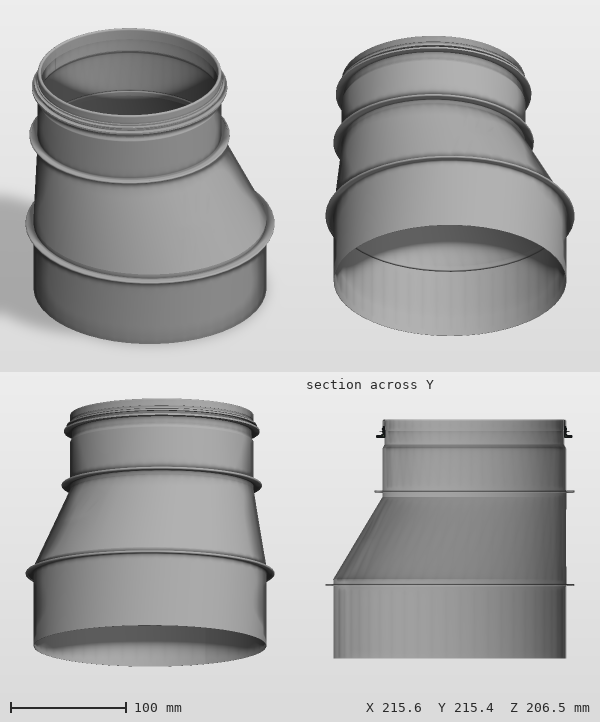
import cadquery as cq
import math


sheet = 0.5
duct_bend_radius = 0.97
transition_bend_radius = 0.2
half_arc = math.sqrt(0.5)

large_radius = 201.4 / 2
small_radius = 159.0 / 2
small_axis_x = small_radius - large_radius
total_height = 206.5

large_joint_z = 63.5
large_flange_radius = 215.4 / 2
large_lip_radius = 211.3 / 2
small_joint_z = 144.2
small_flange_radius = 173.3 / 2
small_lip_radius = 169.5 / 2
hem_radius = 2 * sheet

cone_bottom_z = 68.5
cone_top_z = 139.5

groove_radius = 155.5 / 2
groove_taper_bottom_z = 181.8
groove_taper_top_z = 184.8
taper_bend_radius = 1.7
neck_radius = 154.2 / 2
neck_bottom_z = 197.0
fold_end_z = 200.3
rim_radius = (small_radius - neck_radius + sheet) / 2
rim_center_r = small_radius - rim_radius
rim_z = total_height - rim_radius

large_seam_width = 0.1
small_seam_width = 0.2

gasket_bottom_z = 191.0
gasket_body_radius = 158.0 / 2
gasket_rings = [
    (160.5 / 2, gasket_bottom_z, 193.5),
    (169.0 / 2, gasket_bottom_z, 192.5),
    (164.5 / 2, 195.5, 196.6),
    (160.5 / 2, 197.7, 198.5),
]


def at(radius, z):
    """Profile point on the -X side of the axis."""
    return (-radius, z)


def revolve(profile):
    """Turn a closed profile once around the Z axis."""
    return profile.close().revolve(360, (0, 0, 0), (0, 1, 0))


def ring(inner_radius, outer_radius, bottom_z, top_z):
    """Plain ring with a rectangular section."""
    profile = (
        cq.Workplane("XZ")
        .moveTo(*at(inner_radius, bottom_z))
        .lineTo(*at(outer_radius, bottom_z))
        .lineTo(*at(outer_radius, top_z))
        .lineTo(*at(inner_radius, top_z))
    )
    return revolve(profile)


def flanged_wall(radius, end_z, flange_z, flange_radius, bend_radius, side):
    """Sheet tube from end_z that bends out into a flange.

    flange_z is the flange face turned away from the tube; side is +1 for a tube
    above its flange and -1 for a tube below it.
    """
    center_r = radius + bend_radius
    center_z = flange_z + side * (sheet + bend_radius)
    inside_bend = (bend_radius + sheet) * half_arc
    outside_bend = bend_radius * half_arc
    profile = (
        cq.Workplane("XZ")
        .moveTo(*at(radius - sheet, end_z))
        .lineTo(*at(radius - sheet, center_z))
        .threePointArc(
            at(center_r - inside_bend, center_z - side * inside_bend),
            at(center_r, flange_z),
        )
        .lineTo(*at(flange_radius, flange_z))
        .lineTo(*at(flange_radius, flange_z + side * sheet))
        .lineTo(*at(center_r, flange_z + side * sheet))
        .threePointArc(
            at(center_r - outside_bend, center_z - side * outside_bend),
            at(radius, center_z),
        )
        .lineTo(*at(radius, end_z))
    )
    return revolve(profile)


def hem(joint_z, flange_radius, lip_radius, side):
    """U-shaped fold around a duct flange, with its lip on the side away from the wall."""
    fold_r = flange_radius - hem_radius
    inside = hem_radius - sheet
    profile = (
        cq.Workplane("XZ")
        .moveTo(*at(lip_radius, joint_z - side * hem_radius))
        .lineTo(*at(fold_r, joint_z - side * hem_radius))
        .threePointArc(at(flange_radius, joint_z), at(fold_r, joint_z + side * hem_radius))
        .lineTo(*at(fold_r, joint_z + side * inside))
        .threePointArc(at(fold_r + inside, joint_z), at(fold_r, joint_z - side * inside))
        .lineTo(*at(lip_radius, joint_z - side * inside))
    )
    return revolve(profile)


def hemmed_collar(radius, end_z, joint_z, flange_radius, lip_radius, side):
    """Short end wall of the transition with its flange and hem."""
    flange_z = joint_z + side * (hem_radius - sheet)
    wall = flanged_wall(
        radius, end_z, flange_z, flange_radius - hem_radius, transition_bend_radius, side
    )
    return wall.union(hem(joint_z, flange_radius, lip_radius, side))


def eccentric_cone(bottom_radius, top_radius):
    """Solid between the two offset circles of the transition."""
    return (
        cq.Workplane("XY", origin=(0, 0, cone_bottom_z))
        .circle(bottom_radius)
        .workplane(offset=cone_top_z - cone_bottom_z)
        .center(small_axis_x, 0)
        .circle(top_radius)
        .loft(ruled=True)
    )


def seam_slit(width):
    """Thin block from the axis out past the flange that opens a seam over the full height."""
    block = cq.Workplane("XY").box(
        large_flange_radius, width, total_height, centered=(False, True, False)
    )
    return block.translate((-large_flange_radius, 0, 0))


def make_large_duct():
    wall = flanged_wall(
        large_radius, 0, large_joint_z, large_flange_radius - hem_radius, duct_bend_radius, -1
    )
    return wall.cut(seam_slit(large_seam_width))


def make_transition():
    shell = eccentric_cone(large_radius, small_radius).cut(
        eccentric_cone(large_radius - sheet, small_radius - sheet)
    )
    bottom_collar = hemmed_collar(
        large_radius, cone_bottom_z, large_joint_z, large_flange_radius, large_lip_radius, 1
    )
    top_collar = hemmed_collar(
        small_radius, cone_top_z, small_joint_z, small_flange_radius, small_lip_radius, -1
    ).translate((small_axis_x, 0, 0))
    return shell.union(bottom_collar).union(top_collar)


def make_spigot_end():
    """Wall above the small duct: tapered groove, neck and rim folded outward."""
    profile = (
        cq.Workplane("XZ")
        .moveTo(*at(small_radius, groove_taper_bottom_z))
        .lineTo(*at(groove_radius, groove_taper_top_z))
        .lineTo(*at(groove_radius, neck_bottom_z))
        .lineTo(*at(neck_radius, neck_bottom_z))
        .lineTo(*at(neck_radius, rim_z))
        .threePointArc(
            at(rim_center_r, total_height - sheet), at(small_radius - sheet, rim_z)
        )
        .lineTo(*at(small_radius - sheet, fold_end_z))
        .lineTo(*at(small_radius, fold_end_z))
        .lineTo(*at(small_radius, rim_z))
        .threePointArc(at(rim_center_r, total_height), at(neck_radius - sheet, rim_z))
        .lineTo(*at(neck_radius - sheet, neck_bottom_z - sheet))
        .lineTo(*at(groove_radius - sheet, neck_bottom_z - sheet))
        .lineTo(*at(groove_radius - sheet, groove_taper_top_z))
        .lineTo(*at(small_radius - sheet, groove_taper_bottom_z))
    )
    return revolve(profile)


def round_taper(wall):
    """Round the bends at both ends of the groove taper, inside and outside."""
    for bend_z in (groove_taper_bottom_z, groove_taper_top_z):
        level = cq.selectors.BoxSelector(
            (-small_flange_radius, -small_flange_radius, bend_z - sheet / 2),
            (small_flange_radius, small_flange_radius, bend_z + sheet / 2),
            boundingbox=True,
        )
        wall = wall.edges(level).fillet(taper_bend_radius)
    return wall


def make_small_duct():
    wall = flanged_wall(
        small_radius,
        groove_taper_bottom_z,
        small_joint_z,
        small_flange_radius - hem_radius,
        duct_bend_radius,
        1,
    )
    duct = round_taper(wall.union(make_spigot_end()))
    return duct.cut(seam_slit(small_seam_width)).translate((small_axis_x, 0, 0))


def make_gasket():
    gasket = ring(groove_radius, gasket_body_radius, gasket_bottom_z, fold_end_z)
    for ring_radius, bottom_z, top_z in gasket_rings:
        gasket = gasket.union(ring(groove_radius, ring_radius, bottom_z, top_z))
    return gasket.translate((small_axis_x, 0, 0))


large_duct = make_large_duct()
transition = make_transition()
small_duct = make_small_duct()
gasket = make_gasket()

result = cq.Compound.makeCompound(
    [large_duct.val(), transition.val(), small_duct.val(), gasket.val()]
)